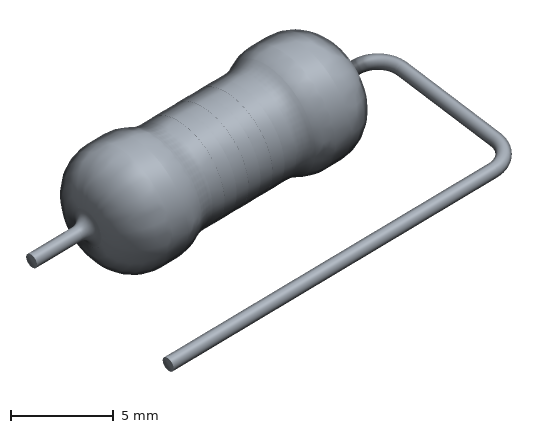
import cadquery as cq
import math

wire_diameter = 0.8
lead_pitch = 10.0
bend_radius = 1.6
overall_length = 23.1
wire_radius = wire_diameter / 2
crossbar_y = overall_length - wire_radius
bend_start_y = crossbar_y - bend_radius

body_start_y = 3.6
body_length = 16.5
cap_radius = 3.5
cap_rounding = 2.45
cap_band_length = 1.025
shoulder_length = 2.05
waist_diameter = 5.95
waist_radius = waist_diameter / 2
end_length = cap_rounding + cap_band_length + shoulder_length
waist_length = body_length - 2 * end_length
body_end_y = body_start_y + body_length

ring_diameter = 5.97
ring_radius = ring_diameter / 2
ring_count = 3
ring_width = waist_length / (2 * ring_count + 1)

flare_radius = 0.7


def point_on_circle(center, radius, angle):
    """Point at the given angle in degrees on a circle."""
    radians = math.radians(angle)
    return (center[0] + radius * math.cos(radians), center[1] + radius * math.sin(radians))


def make_body():
    """Revolve the half outline of the capped body around the Y axis."""
    cap_face_radius = cap_radius - cap_rounding
    lower_band_y = body_start_y + cap_rounding
    lower_shoulder_y = lower_band_y + cap_band_length
    lower_waist_y = lower_shoulder_y + shoulder_length
    upper_waist_y = lower_waist_y + waist_length
    upper_shoulder_y = upper_waist_y + shoulder_length
    upper_band_y = upper_shoulder_y + cap_band_length
    shoulder_mid_radius = (cap_radius + waist_radius) / 2
    outline = (
        cq.Workplane("XY")
        .moveTo(0, body_start_y)
        .lineTo(cap_face_radius, body_start_y)
        .threePointArc(
            point_on_circle((cap_face_radius, lower_band_y), cap_rounding, -45),
            (cap_radius, lower_band_y),
        )
        .lineTo(cap_radius, lower_shoulder_y)
        .tangentArcPoint((shoulder_mid_radius, lower_shoulder_y + shoulder_length / 2), relative=False)
        .tangentArcPoint((waist_radius, lower_waist_y), relative=False)
        .lineTo(waist_radius, upper_waist_y)
        .tangentArcPoint((shoulder_mid_radius, upper_waist_y + shoulder_length / 2), relative=False)
        .tangentArcPoint((cap_radius, upper_shoulder_y), relative=False)
        .lineTo(cap_radius, upper_band_y)
        .threePointArc(
            point_on_circle((cap_face_radius, upper_band_y), cap_rounding, 45),
            (cap_face_radius, body_end_y),
        )
        .lineTo(0, body_end_y)
        .close()
    )
    return outline.revolve(360, (0, 0, 0), (0, 1, 0))


def make_ring(index):
    """One colour ring around the waist, counted from the Y = 0 end."""
    start_y = body_start_y + end_length + (2 * index + 1) * ring_width
    return cq.Workplane("XZ", origin=(0, start_y, 0)).circle(ring_radius).extrude(-ring_width)


def make_flare(face_y, outward):
    """Concave flare from a cap face to the lead; outward is the Y sign pointing off the body."""
    tip_y = face_y + outward * flare_radius
    base_radius = wire_radius + flare_radius
    root_y = face_y - outward * flare_radius
    outline = (
        cq.Workplane("XY")
        .moveTo(0, root_y)
        .lineTo(base_radius, root_y)
        .lineTo(base_radius, face_y)
        .threePointArc(
            point_on_circle((base_radius, tip_y), flare_radius, 180 + outward * 45),
            (wire_radius, tip_y),
        )
        .lineTo(0, tip_y)
        .close()
    )
    return outline.revolve(360, (0, 0, 0), (0, 1, 0))


def make_straight_lead():
    """Short lead from Y = 0 into the body."""
    return cq.Workplane("XZ").circle(wire_radius).extrude(-(body_start_y + cap_rounding))


def make_bent_lead():
    """Lead that leaves the far cap, crosses over and returns to Y = 0."""
    start_y = body_end_y - cap_rounding
    path = (
        cq.Workplane("XY")
        .moveTo(0, start_y)
        .lineTo(0, bend_start_y)
        .tangentArcPoint((bend_radius, crossbar_y), relative=False)
        .lineTo(lead_pitch - bend_radius, crossbar_y)
        .tangentArcPoint((lead_pitch, bend_start_y), relative=False)
        .lineTo(lead_pitch, 0)
    )
    return cq.Workplane("XZ", origin=(0, start_y, 0)).circle(wire_radius).sweep(path)


result = make_body()
for ring_index in range(ring_count):
    result = result.union(make_ring(ring_index))
result = result.union(make_flare(body_start_y, -1))
result = result.union(make_flare(body_end_y, 1))
result = result.union(make_straight_lead())
result = result.union(make_bent_lead())